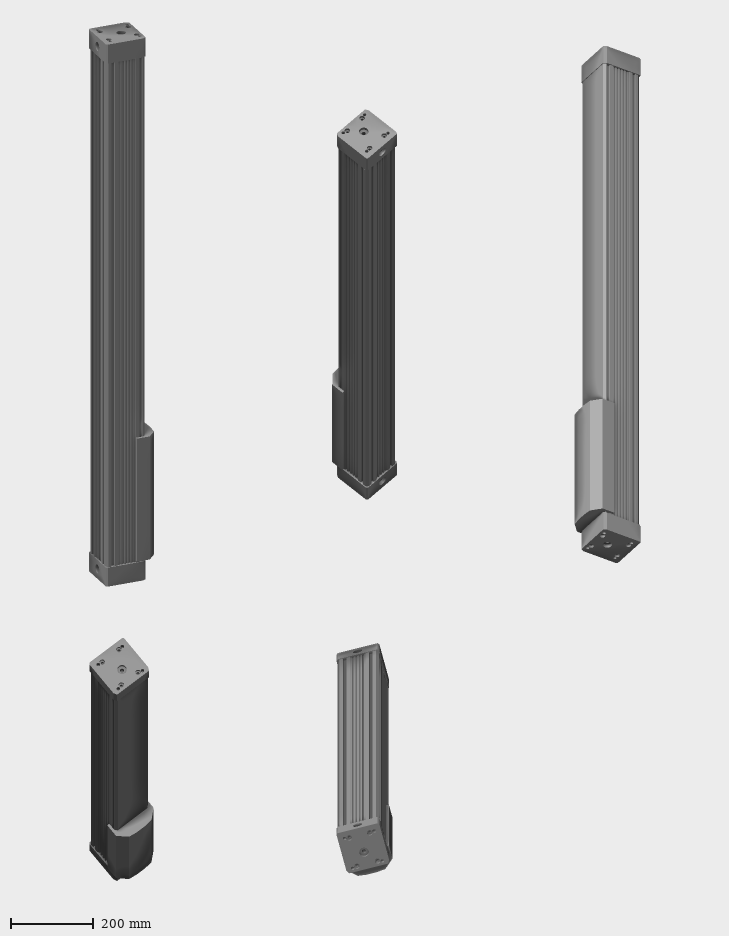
import cadquery as cq

total_length = 1430.0
total_depth = 137.0
carriage_back = total_depth / 2
front_face = -carriage_back

cap_width = 107.0
cap_depth = 106.0
cap_height = 50.0
cap_front_chamfer = 3.6
cap_back_chamfer_x = 5.0
cap_back_chamfer_y = 9.0

port_diameter = 23.0
port_depth = 9.0
port_bore_diameter = 10.0
port_bore_depth = 23.0
end_port_y = -6.0
front_port_inset = 26.0

screw_diameter = 13.5
screw_x = 26.0
screw_rows = (-50.0, 25.0)
screw_core_diameter = 6.6
screw_head_depth = 7.0
pin_diameter = 8.5
pin_x = 37.0
pin_rows = (-51.0, 27.0)
fixing_depth = 17.0

tube_width = 103.0
tube_front = -67.0
tube_back = 36.0
tube_depth = tube_back - tube_front
tube_center_y = (tube_front + tube_back) / 2
tube_corner_chamfer = 6.0
tube_length = total_length - 2 * cap_height

rib_pitch = 9.0
rib_groove_width = rib_pitch / 2
recess_depth = 2.1
rib_groove_depth = 3.0
front_groove_count = 4
side_groove_count = 5
side_pattern_y = -13.0

slot_width = 9.0
slot_gap = 9.0
slot_depth = 6.0

carriage_width = 116.0
carriage_front = 10.0
carriage_shoulder = 45.0
crown_half_width = 35.0
crown_edge = 66.0
carriage_bottom = -660.0
carriage_length = 325.0


def make_cap(bottom_z):
    """Square end block with small chamfers at the front corners and long ones at the back."""
    half_width = cap_width / 2
    back_face = front_face + cap_depth
    right_half = [
        (half_width - cap_front_chamfer, front_face),
        (half_width, front_face + cap_front_chamfer),
        (half_width, back_face - cap_back_chamfer_y),
        (half_width - cap_back_chamfer_x, back_face),
    ]
    left_half = [(-x, y) for x, y in reversed(right_half)]
    return (
        cq.Workplane("XY", origin=(0, 0, bottom_z))
        .polyline(right_half + left_half)
        .close()
        .extrude(cap_height)
    )


def make_tube_blank():
    """Plain tube with chamfered vertical edges, before any groove is cut."""
    return (
        cq.Workplane("XY", origin=(0, tube_center_y, -tube_length / 2))
        .rect(tube_width, tube_depth)
        .extrude(tube_length)
        .edges("|Z")
        .chamfer(tube_corner_chamfer)
    )


def make_channel(center, width, depth):
    """Cutter for one lengthwise channel in a wall on the line Y = 0 whose material lies at +Y."""
    return cq.Workplane("XY").box(width, 2 * depth, tube_length).translate((center, 0, 0))


def make_wall_pattern(groove_count):
    """Cutter for a recess with evenly spaced grooves in its floor and a slot on each side."""
    recess_width = groove_count * rib_pitch + rib_groove_width
    pattern = make_channel(0, recess_width, recess_depth)
    for index in range(groove_count):
        center = (index - (groove_count - 1) / 2) * rib_pitch
        pattern = pattern.union(make_channel(center, rib_groove_width, recess_depth + rib_groove_depth))
    slot_center = recess_width / 2 + slot_gap + slot_width / 2
    for side in (-1, 1):
        pattern = pattern.union(make_channel(side * slot_center, slot_width, slot_depth))
    return pattern


def make_tube():
    """Tube with the grooved pattern on its front and side walls."""
    front_pattern = make_wall_pattern(front_groove_count).translate((0, tube_front, 0))
    tube = make_tube_blank().cut(front_pattern)
    side_pattern = make_wall_pattern(side_groove_count)
    for side in (-1, 1):
        turned = side_pattern.rotate((0, 0, 0), (0, 0, 1), side * 90)
        tube = tube.cut(turned.translate((side * tube_width / 2, side_pattern_y, 0)))
    return tube


def make_hole(point, direction, diameter, depth):
    """Cutter for a round blind hole that starts at a surface point."""
    return cq.Workplane(
        cq.Solid.makeCylinder(diameter / 2, depth, cq.Vector(*point), cq.Vector(*direction))
    )


def make_stepped_hole(point, direction, mouth_diameter, mouth_depth, core_diameter, core_depth):
    """Cutter for a wide mouth with a narrower core that goes on deeper."""
    mouth = make_hole(point, direction, mouth_diameter, mouth_depth)
    return mouth.union(make_hole(point, direction, core_diameter, core_depth))


def make_port(point, direction):
    """Cutter for a connection port."""
    return make_stepped_hole(
        point, direction, port_diameter, port_depth, port_bore_diameter, port_bore_depth
    )


def make_screw_hole(point, direction):
    """Cutter for a cap screw hole."""
    return make_stepped_hole(
        point, direction, screw_diameter, screw_head_depth, screw_core_diameter, fixing_depth
    )


def make_cylinder():
    """Tube and both end caps as one solid, with ports and fixing holes at each end."""
    half_length = total_length / 2
    cylinder = make_tube()
    for bottom_z in (-half_length, half_length - cap_height):
        cylinder = cylinder.union(make_cap(bottom_z))
    for end in (-1, 1):
        end_z = end * half_length
        inward = (0, 0, -end)
        cylinder = cylinder.cut(make_port((0, end_port_y, end_z), inward))
        cylinder = cylinder.cut(make_port((0, front_face, end_z - end * front_port_inset), (0, 1, 0)))
        for side in (-1, 1):
            for y in screw_rows:
                screw_point = (side * screw_x, y, end_z)
                cylinder = cylinder.cut(make_screw_hole(screw_point, inward))
            for y in pin_rows:
                pin_point = (side * pin_x, y, end_z)
                cylinder = cylinder.cut(make_hole(pin_point, inward, pin_diameter, fixing_depth))
    return cylinder


def make_carriage():
    """Arched carriage whose channel wraps the back of the tube."""
    half_width = carriage_width / 2
    blank = (
        cq.Workplane("XY", origin=(0, 0, carriage_bottom))
        .moveTo(-half_width, carriage_front)
        .lineTo(half_width, carriage_front)
        .lineTo(half_width, carriage_shoulder)
        .lineTo(crown_half_width, crown_edge)
        .threePointArc((0, carriage_back), (-crown_half_width, crown_edge))
        .lineTo(-half_width, carriage_shoulder)
        .close()
        .extrude(carriage_length)
    )
    return blank.cut(make_tube_blank())


cylinder = make_cylinder()
carriage = make_carriage()
result = cq.Compound.makeCompound([cylinder.solids().val(), carriage.solids().val()])